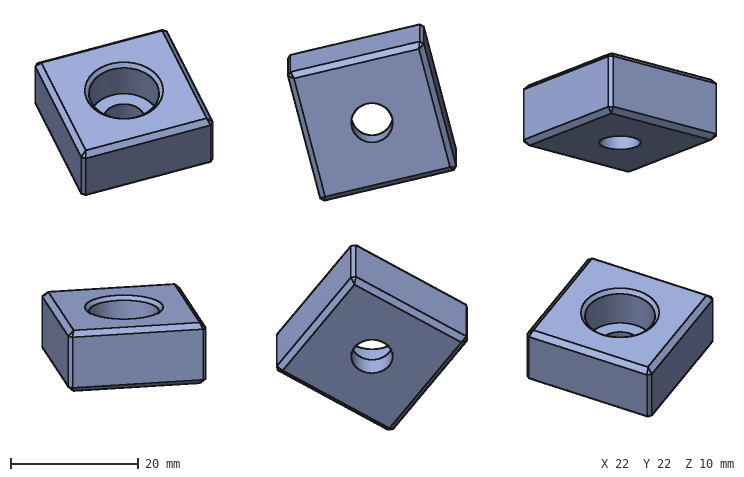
import cadquery as cq

side = 22.0
height = 10.0
corner_chamfer = 0.55
rim_inset = 0.9
rim_drop = 0.84

bore_diameter = 6.5
counterbore_diameter = 11.0
counterbore_depth = 6.5
mouth_chamfer = 0.64

half_side = side / 2
half_flat = half_side - corner_chamfer
half_face = half_side - rim_inset
quadrants = [(1, 1), (-1, 1), (-1, -1), (1, -1)]


def flat_face(points):
    return cq.Face.makeFromWires(cq.Wire.makePolygon(points, close=True))


def corner_points(sign_x, sign_y, z):
    """Ends of one upright corner bevel at height z, in counterclockwise order."""
    ends = [
        cq.Vector(sign_x * half_side, sign_y * half_flat, z),
        cq.Vector(sign_x * half_flat, sign_y * half_side, z),
    ]
    if sign_x * sign_y < 0:
        ends.reverse()
    return ends


def make_block():
    """Bevelled block whose corner bevels taper to points at the end face corners."""
    lower_ring = []
    upper_ring = []
    for sign_x, sign_y in quadrants:
        lower_ring += corner_points(sign_x, sign_y, rim_drop)
        upper_ring += corner_points(sign_x, sign_y, height - rim_drop)
    bottom = [cq.Vector(sx * half_face, sy * half_face, 0) for sx, sy in quadrants]
    top = [cq.Vector(sx * half_face, sy * half_face, height) for sx, sy in quadrants]

    faces = [flat_face(bottom), flat_face(top)]
    ring_size = len(lower_ring)
    for i in range(ring_size):
        j = (i + 1) % ring_size
        faces.append(flat_face([lower_ring[i], lower_ring[j], upper_ring[j], upper_ring[i]]))

    for end_face, ring in [(bottom, lower_ring), (top, upper_ring)]:
        for corner in range(len(quadrants)):
            following = (corner + 1) % len(quadrants)
            start = ring[2 * corner]
            end = ring[2 * corner + 1]
            next_start = ring[2 * following]
            faces.append(flat_face([start, end, end_face[corner]]))
            faces.append(flat_face([end, next_start, end_face[following], end_face[corner]]))

    return cq.Workplane(cq.Solid.makeSolid(cq.Shell.makeShell(faces)).fix())


def make_stepped_hole():
    """Through bore, counterbore and conical mouth as one turned cutter."""
    bore_radius = bore_diameter / 2
    counterbore_radius = counterbore_diameter / 2
    floor_z = height - counterbore_depth
    return (
        cq.Workplane("XZ")
        .moveTo(0, 0)
        .lineTo(bore_radius, 0)
        .lineTo(bore_radius, floor_z)
        .lineTo(counterbore_radius, floor_z)
        .lineTo(counterbore_radius, height - mouth_chamfer)
        .lineTo(counterbore_radius + mouth_chamfer, height)
        .lineTo(0, height)
        .close()
        .revolve(360, (0, 0, 0), (0, 1, 0))
    )


result = make_block().cut(make_stepped_hole())